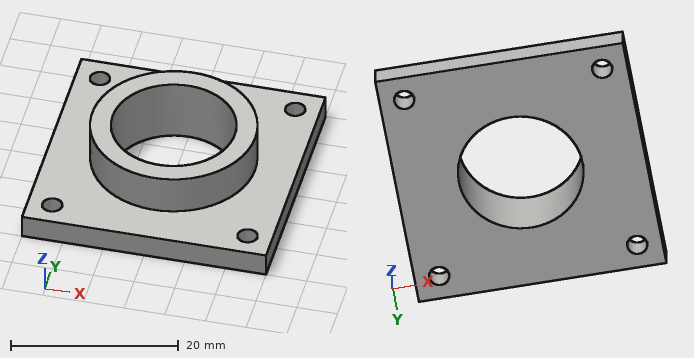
import cadquery as cq

plate_side = 30.0
plate_thickness = 3.0

collar_diameter = 20.0
collar_height = 5.0
bore_diameter = 15.0

mounting_hole_diameter = 2.4
mounting_hole_edge_distance = 3.0
mounting_hole_spacing = plate_side - 2 * mounting_hole_edge_distance


def make_plate():
    """Base plate centred on the Z axis, with its underside at Z = 0."""
    return cq.Workplane("XY").box(
        plate_side, plate_side, plate_thickness, centered=(True, True, False)
    )


def add_collar(body):
    """Raise the collar from the top of the plate."""
    return body.faces(">Z").workplane().circle(collar_diameter / 2).extrude(collar_height)


def cut_bore(body):
    """Cut the central bore through collar and plate."""
    return body.faces(">Z").workplane().hole(bore_diameter)


def cut_mounting_holes(body):
    """Drill the four corner holes through the plate."""
    return (
        body.faces("<Z")
        .workplane(centerOption="CenterOfBoundBox")
        .rect(mounting_hole_spacing, mounting_hole_spacing, forConstruction=True)
        .vertices()
        .hole(mounting_hole_diameter, plate_thickness)
    )


flange = add_collar(make_plate())
flange = cut_bore(flange)
result = cut_mounting_holes(flange)